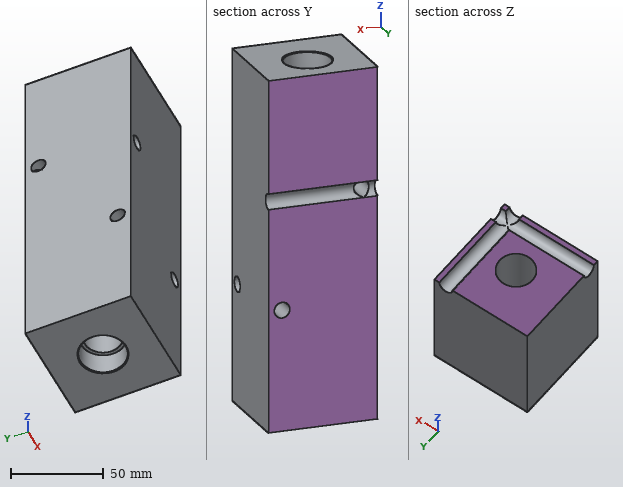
import cadquery as cq

length = 203.2
side = 63.5
bore_diameter = 22.0
socket_top_diameter = 26.8
socket_taper = 1 / 16
socket_mouth_diameter = 27.8
socket_depth = 13.8
cross_hole_diameter = 8.7
cross_hole_inset = 8.0
cross_hole_spacing = 63.5

mouth_chamfer = (socket_mouth_diameter - socket_top_diameter) / 2
socket_floor_diameter = socket_top_diameter - socket_taper * (socket_depth - mouth_chamfer)
hole_offset = side / 2 - cross_hole_inset
hole_height = cross_hole_spacing / 2


def end_socket():
    """Tapered socket with a 45 degree flared mouth, at the +Z end."""
    socket_profile = [
        (0, length / 2),
        (socket_mouth_diameter / 2, length / 2),
        (socket_top_diameter / 2, length / 2 - mouth_chamfer),
        (socket_floor_diameter / 2, length / 2 - socket_depth),
        (0, length / 2 - socket_depth),
    ]
    return cq.Workplane("XZ").polyline(socket_profile).close().revolve(360, (0, 0), (0, 1))


def cross_holes(plane, upper_side):
    """Diagonal pair of through holes; the upper one lies at upper_side along the plane's first axis."""
    return (
        cq.Workplane(plane)
        .pushPoints([
            (upper_side * hole_offset, hole_height),
            (-upper_side * hole_offset, -hole_height),
        ])
        .circle(cross_hole_diameter / 2)
        .extrude(side, both=True)
    )


block = cq.Workplane("XY").box(side, side, length)
bore = cq.Workplane("XY").circle(bore_diameter / 2).extrude(length, both=True)

top_socket = end_socket()
bottom_socket = top_socket.mirror("XY")

result = (
    block.cut(bore)
    .cut(top_socket)
    .cut(bottom_socket)
    .cut(cross_holes("XZ", -1))
    .cut(cross_holes("YZ", 1))
)